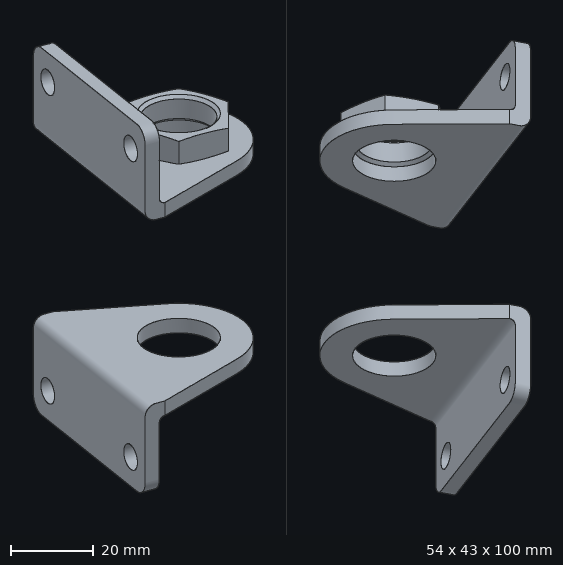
import cadquery as cq
import math

overall_height = 100.0
width = 54.0
thickness = 4.0
flange_height = 25.0
axis_to_face = 25.0
nose_radius = 18.0
outer_bend_radius = 3.0
inner_bend_radius = 1.5
corner_radius = 4.0
axis_hole_diameter = 20.1

mount_hole_diameter = 6.6
mount_hole_spacing = 40.0
mount_hole_edge = 8.0

nut_across_flats = 24.0
nut_face_diameter = 23.8
nut_height = 7.0
nut_bore_diameter = 18.4
nut_mouth_diameter = 20.1
nut_corner_drop = 0.4

face_y = -axis_to_face
taper_start_y = face_y + thickness + inner_bend_radius
upper_base_z = overall_height - flange_height


def plate():
    """Tapered plate with straight sides tangent to the round nose."""
    half_width = width / 2
    start_distance = math.hypot(half_width, taper_start_y)
    tangent_angle = math.atan2(taper_start_y, half_width) + math.acos(nose_radius / start_distance)
    tangent_x = nose_radius * math.cos(tangent_angle)
    tangent_y = nose_radius * math.sin(tangent_angle)
    return (
        cq.Workplane("XY")
        .moveTo(-half_width, face_y)
        .lineTo(half_width, face_y)
        .lineTo(half_width, taper_start_y)
        .lineTo(tangent_x, tangent_y)
        .threePointArc((0, nose_radius), (-tangent_x, tangent_y))
        .lineTo(-half_width, taper_start_y)
        .close()
        .extrude(thickness)
    )


def flange():
    """Upright flange with rounded free corners."""
    return (
        cq.Workplane("XY")
        .box(width, thickness, flange_height, centered=(True, False, False))
        .translate((0, face_y, 0))
        .edges("|Y and >Z")
        .fillet(corner_radius)
    )


def make_bracket():
    """Bracket with its plate on Z = 0 and its flange pointing up."""
    bracket = plate().union(flange())
    inner_bend = cq.selectors.NearestToPointSelector((0, face_y + thickness, thickness))
    bracket = bracket.edges(inner_bend).fillet(inner_bend_radius)
    outer_bend = cq.selectors.NearestToPointSelector((0, face_y, 0))
    bracket = bracket.edges(outer_bend).fillet(outer_bend_radius)

    axis_hole = cq.Workplane("XY").circle(axis_hole_diameter / 2).extrude(thickness)
    mount_z = flange_height - mount_hole_edge
    mount_holes = (
        cq.Workplane("XZ", origin=(0, face_y, 0))
        .pushPoints([(side * mount_hole_spacing / 2, mount_z) for side in (-1, 1)])
        .circle(mount_hole_diameter / 2)
        .extrude(-thickness)
    )
    return bracket.cut(axis_hole).cut(mount_holes)


def make_nut():
    """Hexagonal nut on Z = 0, corners and bore chamfered at both ends."""
    hexagon_radius = nut_across_flats / math.sqrt(3)
    face_radius = nut_face_diameter / 2
    bore_radius = nut_bore_diameter / 2
    mouth_radius = nut_mouth_diameter / 2
    mouth_depth = mouth_radius - bore_radius

    hexagon = (
        cq.Workplane("XY")
        .polygon(6, 2 * hexagon_radius)
        .extrude(nut_height)
        .rotate((0, 0, 0), (0, 0, 1), 30)
    )
    turned_profile = (
        cq.Workplane("XZ")
        .moveTo(mouth_radius, 0)
        .lineTo(face_radius, 0)
        .lineTo(hexagon_radius, nut_corner_drop)
        .lineTo(hexagon_radius, nut_height - nut_corner_drop)
        .lineTo(face_radius, nut_height)
        .lineTo(mouth_radius, nut_height)
        .lineTo(bore_radius, nut_height - mouth_depth)
        .lineTo(bore_radius, mouth_depth)
        .close()
        .revolve(360, (0, 0, 0), (0, 1, 0))
    )
    return hexagon.intersect(turned_profile)


brackets = []
for turn, base_z in ((0, upper_base_z), (180, flange_height)):
    bracket = make_bracket().rotate((0, 0, 0), (0, 1, 0), turn).translate((0, 0, base_z))
    brackets.append(bracket.solids().val())

nut = make_nut().translate((0, 0, upper_base_z + thickness))

result = cq.Compound.makeCompound([*brackets, nut.solids().val()])